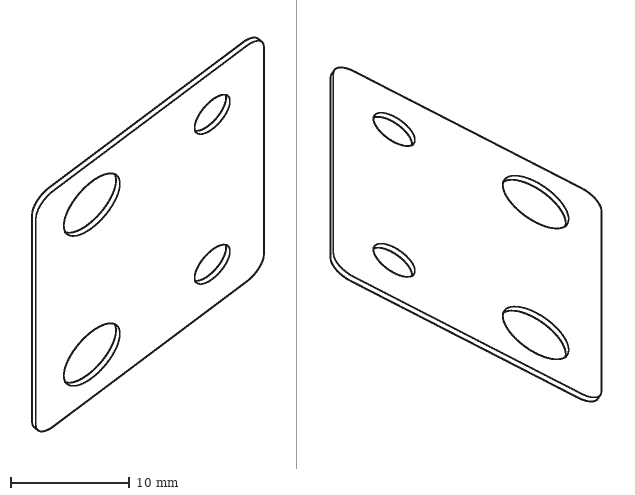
import cadquery as cq

thickness = 0.5
width = 26.5
height = 33.0
corner_radius = 2.0

small_diameter = 4.1
large_diameter = 6.5
small_edge_distance = 6.0
column_spacing = 14.0
row_spacing = 21.0

small_y = width / 2 - small_edge_distance
large_y = small_y - column_spacing


def hole_pair(y, diameter):
    """Two cylinders through the plate, mirrored about mid-height."""
    centres = [(y, -row_spacing / 2), (y, row_spacing / 2)]
    return (
        cq.Workplane("YZ")
        .pushPoints(centres)
        .circle(diameter / 2)
        .extrude(thickness, both=True)
    )


plate = cq.Workplane("XY").box(thickness, width, height).edges("|X").fillet(corner_radius)
result = plate.cut(hole_pair(small_y, small_diameter)).cut(hole_pair(large_y, large_diameter))